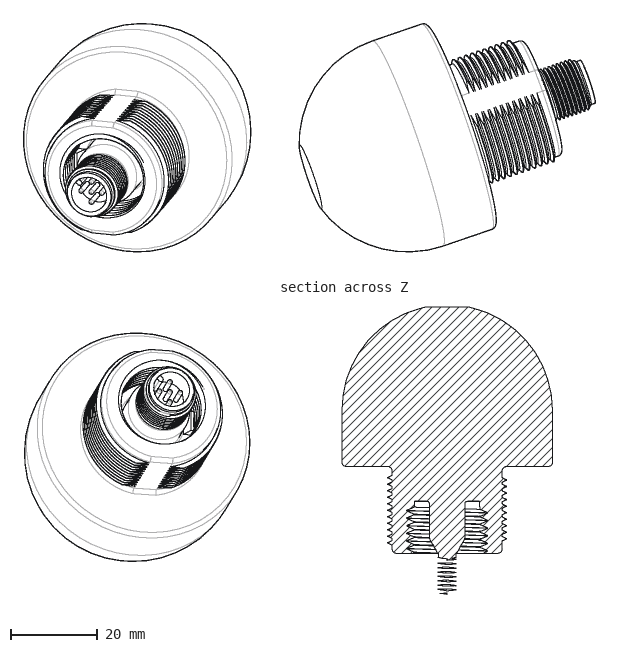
import cadquery as cq
import math


head_radius = 25.0
head_skirt = 13.0
dome_height = 23.77
head_edge_fillet = 1.0

neck_radius = 14.0
neck_length = 20.0
neck_flat_offset = 13.75
neck_fillet = 1.0
neck_thread_crest = 14.9
neck_thread_pitch = 1.5
neck_thread_base = 1.2
neck_thread_crest_width = 0.15
neck_thread_turns = 10.5
neck_thread_start = -17.8

bore_radius = 9.5
bore_depth = 12.0
bore_thread_root = 11.0
bore_thread_pitch = 1.75
bore_thread_base = 1.7
bore_thread_root_width = 0.05
bore_thread_turns = 6.5
bore_thread_lead_in = 0.5
bore_thread_start = -neck_length - bore_thread_lead_in * bore_thread_pitch

tip_y = -31.0
post_foot_radius = 7.2
post_foot_fillet = 0.45
cone_length = 3.6
collar_radius = 6.25
collar_top_y = -20.1
collar_length = 0.8
collar_chamfer = 0.6
plug_core_radius = 5.65
tip_radius = 5.25
tip_length = 1.0
plug_thread_pitch = 1.0
plug_thread_base = 0.85
plug_thread_crest_width = 0.1
plug_thread_turns = 8
plug_thread_start = -29.3

cavity_radius = 4.2
cavity_depth = 7.0
pin_radius = 0.55
pin_spacing = 2.45
pin_recess = 1.5
pin_tip_fillet = 0.4
key_width = 1.16
key_center_radius = 3.44
key_angle = 45.0
key_recess = 0.5

tab_inner = 7.55
tab_outer = 9.35
tab_width = 4.7
tab_height = 3.0
tab_lip = 0.7

overlap = 0.1
trim_tolerance = 1e-4

floor_y = -neck_length + bore_depth


def cylinder(radius, y_low, y_high, x=0.0, z=0.0):
    """Cylinder parallel to Y between two Y positions, its seam on the -Z side."""
    plane = cq.Plane(origin=(x, y_low, z), xDir=(0, 0, -1), normal=(0, 1, 0))
    return cq.Workplane(plane).circle(radius).extrude(y_high - y_low)


def thread(base_radius, tip_thread_radius, base_width, tip_width, pitch, turns, start_y):
    """Right-handed thread ridge about Y, starting on the -Z side at start_y."""
    helix = cq.Wire.makeHelix(pitch, pitch * turns, base_radius)
    ridge = (
        cq.Workplane("XZ")
        .moveTo(base_radius, -base_width / 2)
        .lineTo(tip_thread_radius, -tip_width / 2)
        .lineTo(tip_thread_radius, tip_width / 2)
        .lineTo(base_radius, base_width / 2)
        .close()
        .sweep(cq.Workplane(helix), isFrenet=True)
    )
    ridge = ridge.rotate((0, 0, 0), (0, 0, 1), 90)
    ridge = ridge.rotate((0, 0, 0), (1, 0, 0), -90)
    return ridge.translate((0, start_y, 0))


def make_head():
    """Skirt and truncated spherical dome with a rounded lower rim."""
    dome_flat_radius = math.sqrt(head_radius**2 - dome_height**2)
    half_dome_angle = math.asin(dome_height / head_radius) / 2
    dome_mid = (
        head_radius * math.cos(half_dome_angle),
        head_skirt + head_radius * math.sin(half_dome_angle),
    )
    return (
        cq.Workplane("XY")
        .lineTo(head_radius, 0)
        .lineTo(head_radius, head_skirt)
        .threePointArc(dome_mid, (dome_flat_radius, head_skirt + dome_height))
        .lineTo(0, head_skirt + dome_height)
        .close()
        .revolve(360, (0, 0, 0), (0, 1, 0))
        .faces("<Y")
        .edges()
        .fillet(head_edge_fillet)
    )


def cut_bore(body):
    """Blind bore and the V thread in its wall, running out of the mouth."""
    groove = thread(
        bore_radius - overlap, bore_thread_root, bore_thread_base, bore_thread_root_width,
        bore_thread_pitch, bore_thread_turns, bore_thread_start,
    )
    bored = body.cut(cylinder(bore_radius, -neck_length, floor_y), clean=False)
    return bored.cut(groove, clean=False)


def make_neck():
    """Threaded and bored neck trimmed to the slab between its flats and rounded at its end."""
    ridge = thread(
        neck_radius - overlap, neck_thread_crest, neck_thread_base, neck_thread_crest_width,
        neck_thread_pitch, neck_thread_turns, neck_thread_start,
    )
    core = cylinder(neck_radius, -neck_length, overlap)
    neck = cut_bore(core.union(ridge, clean=False))
    slab_side = 4 * neck_radius
    slab = cq.Workplane("XY").box(slab_side, slab_side, 2 * neck_flat_offset)
    neck = neck.intersect(slab, clean=False, tol=trim_tolerance)
    outer_rim = neck.faces("<Y").val().outerWire().Edges()
    return neck.newObject(outer_rim).fillet(neck_fillet)


def join_neck(head, neck):
    """Neck joined to the head with a fillet around its root."""
    reach = neck_radius + overlap
    root_zone = cq.selectors.BoxSelector(
        (-reach, -overlap, -reach), (reach, overlap, reach), boundingbox=True
    )
    return head.union(neck, clean=False).edges(root_zone).fillet(neck_fillet)


def make_post():
    """Turned connector post: filleted foot, cone, collar, core and reduced tip."""
    cone_foot_y = collar_top_y + cone_length
    collar_low_y = collar_top_y - collar_length
    core_top_y = collar_low_y - collar_chamfer
    tip_top_y = tip_y + tip_length
    core_low_y = tip_top_y + plug_core_radius - tip_radius
    fillet_mid = post_foot_fillet * (1 - math.sqrt(0.5))
    return (
        cq.Workplane("XY")
        .moveTo(0, floor_y + overlap)
        .lineTo(post_foot_radius + post_foot_fillet, floor_y + overlap)
        .lineTo(post_foot_radius + post_foot_fillet, floor_y)
        .threePointArc(
            (post_foot_radius + fillet_mid, floor_y - fillet_mid),
            (post_foot_radius, floor_y - post_foot_fillet),
        )
        .lineTo(post_foot_radius, cone_foot_y)
        .lineTo(collar_radius, collar_top_y)
        .lineTo(collar_radius, collar_low_y)
        .lineTo(plug_core_radius, core_top_y)
        .lineTo(plug_core_radius, core_low_y)
        .lineTo(tip_radius, tip_top_y)
        .lineTo(tip_radius, tip_y)
        .lineTo(0, tip_y)
        .close()
        .revolve(360, (0, 0, 0), (0, 1, 0))
    )


def make_plug_thread():
    """Connector thread, its last turn trimmed by the 45 degree lead-in."""
    ridge = thread(
        plug_core_radius - overlap, collar_radius, plug_thread_base, plug_thread_crest_width,
        plug_thread_pitch, plug_thread_turns, plug_thread_start,
    )
    tip_top_y = tip_y + tip_length
    envelope_radius = collar_radius + overlap
    envelope = (
        cq.Workplane("XY")
        .moveTo(0, tip_top_y)
        .lineTo(tip_radius, tip_top_y)
        .lineTo(envelope_radius, tip_top_y + envelope_radius - tip_radius)
        .lineTo(envelope_radius, floor_y)
        .lineTo(0, floor_y)
        .close()
        .revolve(360, (0, 0, 0), (0, 1, 0))
    )
    return ridge.intersect(envelope)


def make_pin(x, z):
    """Contact pin with a rounded tip."""
    pin = cylinder(pin_radius, tip_y + pin_recess, tip_y + cavity_depth + overlap, x, z)
    return pin.faces("<Y").edges().fillet(pin_tip_fillet)


def make_key():
    """Round-nosed coding rib on the -X +Z side of the cavity wall."""
    low_y = tip_y + key_recess
    high_y = tip_y + cavity_depth + overlap
    rib_end = cavity_radius + overlap
    nose = cylinder(key_width / 2, low_y, high_y, -key_center_radius)
    web = cq.Workplane("XY").box(
        rib_end - key_center_radius, high_y - low_y, key_width, centered=(False, False, True)
    )
    web = web.translate((-rib_end, low_y, 0))
    return nose.union(web).rotate((0, 0, 0), (0, 1, 0), key_angle)


def make_tab():
    """Snap tab on the +X side: a raised outer lip with a slope toward the post."""
    return (
        cq.Workplane("XY")
        .moveTo(tab_inner, floor_y + overlap)
        .lineTo(tab_outer, floor_y + overlap)
        .lineTo(tab_outer, floor_y - tab_height)
        .lineTo(tab_outer - tab_lip, floor_y - tab_height)
        .lineTo(tab_inner, floor_y)
        .close()
        .extrude(tab_width / 2, both=True)
    )


def make_connector():
    """Threaded post with its cavity, key, five pins and two snap tabs."""
    connector = make_post().cut(cylinder(cavity_radius, tip_y, tip_y + cavity_depth))
    connector = connector.union(make_key())
    pin_places = [(0, 0), (pin_spacing, 0), (-pin_spacing, 0), (0, pin_spacing), (0, -pin_spacing)]
    for x, z in pin_places:
        connector = connector.union(make_pin(x, z))
    for tab_angle in (0, 180):
        connector = connector.union(make_tab().rotate((0, 0, 0), (0, 1, 0), tab_angle))
    return connector.union(make_plug_thread(), clean=False)


housing = join_neck(make_head(), make_neck())
result = housing.union(make_connector(), clean=False)